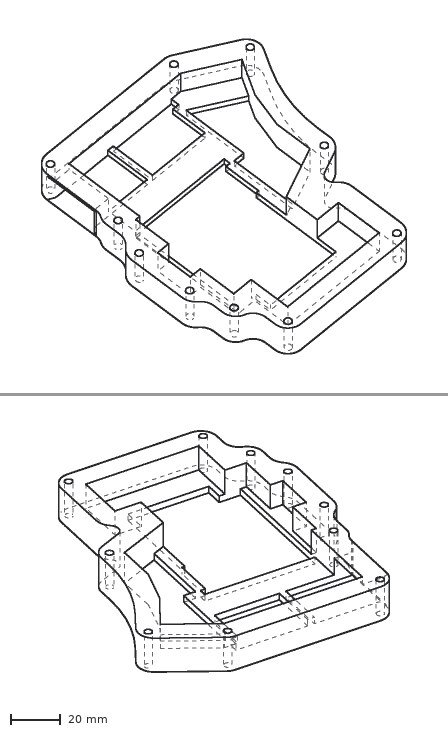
import cadquery as cq
import math

length = 135.4
height = 16.5
wall = 10.0
corner_radius = 7.5

shelf_level = 4.9
pocket_floor = 1.8
window_top = 13.0

inner_left = wall
inner_right = length - wall
inner_bottom = 18.7
left_bend_y = 83.9
side_angle = math.radians(60)
apex_x = 22.9
apex_y = left_bend_y + (apex_x - inner_left) * math.tan(side_angle)
rear_wall_y = 91.6
rear_wall_right_x = 74.9
block_left_x = 85.3
block_right_x = 102.6
block_front_y = 67.0
right_bay_bottom = 26.0
right_bay_top = 79.3
connector_left_x = 68.0
connector_right_x = 86.2
connector_bottom = wall
front_step_left_x = 49.7
front_step_left_y = 16.4
front_step_right_y = 15.8
front_right_x = 104.9

board_left = 47.0
board_right = 113.0
board_right_bottom = 28.7
board_tab_x = 50.2
board_tab_y = 70.7
board_step_x = 68.5
board_step_y = 68.4
side_pocket_right = 32.0
front_pocket_top = 41.4
rear_pocket_bottom = 44.5
rear_pocket_top = 75.1
rear_pocket_tab_x = 14.1
rear_floor_y = 78.4
rear_floor_left_x = 18.3
rear_floor_step_x = 50.6
rear_floor_step_y = 72.8

hole_diameter = 3.4
hole_inset = 4.7
window_edge_radius = 3.0
window_sill_radius = 1.6

outer_front_left = inner_bottom - wall
outer_step_left = front_step_left_y - wall
outer_step_right = front_step_right_y - wall
outer_right_bottom = right_bay_bottom - wall
outer_right_top = right_bay_top + wall
outer_rear_top = rear_wall_y + wall


def toward(start, end, distance):
    """Point at the given distance from start on the way to end."""
    span = math.dist(start, end)
    return tuple(a + (b - a) * distance / span for a, b in zip(start, end))


def step_corners(start, end):
    """Two (x, y, radius) corners of an S bend whose equal arcs meet halfway, level at both ends."""
    run = end[0] - start[0]
    rise = abs(end[1] - start[1])
    tangent = (run ** 2 + rise ** 2) / (4 * run)
    radius = (run ** 2 + rise ** 2) / (4 * rise)
    return [(start[0] + tangent, start[1], radius), (end[0] - tangent, end[1], radius)]


def rounded_outline(corners):
    """Closed outline through (x, y, radius) corners, each rounded by a tangent arc."""
    tolerance = 1.35e-06
    outline = None
    position = None
    for index, (x, y, radius) in enumerate(corners):
        corner = (x, y)
        before = corners[index - 1][:2]
        after = corners[(index + 1) % len(corners)][:2]
        bearing_in = math.atan2(y - before[1], x - before[0])
        bearing_out = math.atan2(after[1] - y, after[0] - x)
        turn = abs(math.remainder(bearing_out - bearing_in, 2 * math.pi))
        tangent = radius * math.tan(turn / 2)
        arc_start = toward(corner, before, tangent)
        arc_end = toward(corner, after, tangent)
        chord_middle = tuple((a + b) / 2 for a, b in zip(arc_start, arc_end))
        arc_middle = toward(corner, chord_middle, radius / math.cos(turn / 2) - radius)
        if outline is None:
            outline = cq.Workplane("XY").moveTo(*arc_start)
        elif math.dist(position, arc_start) > tolerance:
            outline = outline.lineTo(*arc_start)
        outline = outline.threePointArc(arc_middle, arc_end)
        position = arc_end
    return outline.close()


def make_body():
    """Solid plate with the rounded outer outline."""
    sweep_radius = 70.4
    notch_radius = 3.8
    notch_bottom = (89.9, 81.8)
    notch_top_x = 97.5
    left_bend = (0, left_bend_y + wall * math.tan((math.pi / 2 - side_angle) / 2))
    apex_shift = wall * math.sqrt(2)
    apex_bearing = side_angle + math.pi / 4
    apex = (
        apex_x + apex_shift * math.cos(apex_bearing),
        apex_y + apex_shift * math.sin(apex_bearing),
    )
    sweep_x = apex[0] + (apex[1] - outer_rear_top) * math.tan(side_angle)
    rear_corner_x = 81.4
    corners = [
        (0, outer_front_left, corner_radius),
        *step_corners((34.8, outer_front_left), (42.5, outer_step_left)),
        *step_corners((50.2, outer_step_left), (63.1, 0)),
        *step_corners((91.2, 0), (103.5, outer_step_right)),
        *step_corners((108.5, outer_step_right), (122.6, outer_right_bottom)),
        (length, outer_right_bottom, corner_radius),
        (length, outer_right_top, corner_radius),
        (notch_top_x, outer_right_top, corner_radius),
        (*notch_bottom, notch_radius),
        (rear_corner_x, outer_rear_top, corner_radius),
        (sweep_x, outer_rear_top, sweep_radius),
        (*apex, corner_radius),
        (*left_bend, corner_radius),
    ]
    return rounded_outline(corners).extrude(height)


def recess(points, floor, ceiling):
    """Straight-walled cutter between two levels."""
    return cq.Workplane("XY").workplane(offset=floor).polyline(points).close().extrude(ceiling - floor)


rear_wall = [
    (rear_wall_right_x, rear_wall_y),
    (56.5, rear_wall_y),
    (39.5, 96.5),
]


def main_cavity():
    """Open cavity down to the shelf level."""
    return recess(
        [
            (inner_left, inner_bottom),
            (front_step_left_x, inner_bottom),
            (front_step_left_x, front_step_left_y),
            (connector_left_x, front_step_left_y),
            (connector_left_x, connector_bottom),
            (connector_right_x, connector_bottom),
            (connector_right_x, front_step_right_y),
            (front_right_x, front_step_right_y),
            (front_right_x, right_bay_bottom),
            (inner_right, right_bay_bottom),
            (inner_right, right_bay_top),
            (block_right_x, right_bay_top),
            (block_right_x, block_front_y),
            (block_left_x, block_front_y),
            *rear_wall,
            (apex_x, apex_y),
            (inner_left, left_bend_y),
        ],
        shelf_level,
        height,
    )


def board_pocket():
    """Stepped circuit-board pocket in the shelf."""
    return recess(
        [
            (board_left, inner_bottom),
            (front_right_x, inner_bottom),
            (front_right_x, board_right_bottom),
            (board_right, board_right_bottom),
            (board_right, block_front_y),
            (board_step_x, block_front_y),
            (board_step_x, board_step_y),
            (board_tab_x, board_step_y),
            (board_tab_x, board_tab_y),
            (board_left, board_tab_y),
        ],
        pocket_floor,
        shelf_level,
    )


def front_side_pocket():
    """Pocket in the front left corner, just behind the window."""
    return recess(
        [
            (inner_left, inner_bottom),
            (side_pocket_right, inner_bottom),
            (side_pocket_right, front_pocket_top),
            (inner_left, front_pocket_top),
        ],
        pocket_floor,
        shelf_level,
    )


def rear_side_pocket():
    """Pocket along the left wall, with a short tab at its rear left corner."""
    return recess(
        [
            (inner_left, rear_pocket_bottom),
            (side_pocket_right, rear_pocket_bottom),
            (side_pocket_right, rear_pocket_top),
            (rear_pocket_tab_x, rear_pocket_top),
            (rear_pocket_tab_x, rear_floor_y),
            (inner_left, rear_floor_y),
        ],
        pocket_floor,
        shelf_level,
    )


def rear_pocket():
    """Deep area bounded by the bent rear wall and a ledge along the slanted side wall."""
    block_slope = (block_left_x - rear_wall_right_x) / (rear_wall_y - block_front_y)
    wall_x = rear_wall_right_x + (rear_wall_y - rear_floor_step_y) * block_slope
    rear_slope = (apex_y - rear_wall[-1][1]) / (rear_wall[-1][0] - apex_x)
    ledge_slope = math.tan(side_angle)
    ledge_x = (
        apex_y + rear_slope * apex_x - rear_floor_y + ledge_slope * rear_floor_left_x
    ) / (ledge_slope + rear_slope)
    ledge_y = rear_floor_y + (ledge_x - rear_floor_left_x) * ledge_slope
    return recess(
        [
            (rear_floor_left_x, rear_floor_y),
            (rear_floor_step_x, rear_floor_y),
            (rear_floor_step_x, rear_floor_step_y),
            (wall_x, rear_floor_step_y),
            *rear_wall,
            (ledge_x, ledge_y),
        ],
        pocket_floor,
        shelf_level,
    )


def window():
    """Cutter for the front opening, with rounded outer side and top edges and a rounded sill."""
    margin = 2 * window_edge_radius
    clearance = 0.1
    width = side_pocket_right - inner_left
    opening = cq.Workplane("XY").box(width, wall, window_top + margin, centered=False)
    opening = opening.translate((inner_left, outer_front_left, -margin))
    surround = cq.Workplane("XY").box(
        width + 2 * margin, wall, window_top + 2 * margin, centered=False
    ).translate((inner_left - margin, outer_front_left, -margin))
    frame = surround.cut(opening)
    mouth = cq.selectors.BoxSelector(
        (inner_left - clearance, outer_front_left - clearance, -margin),
        (side_pocket_right + clearance, outer_front_left + clearance, window_top + clearance),
    )
    frame = frame.edges(mouth).fillet(window_edge_radius)
    flared_opening = surround.cut(frame)

    sill = cq.Workplane("XY").box(width + 2 * margin, wall, pocket_floor + margin, centered=False)
    sill = sill.translate((inner_left - margin, outer_front_left, -margin))
    sill = sill.faces(">Z").edges("<Y").fillet(window_sill_radius)
    return flared_opening.cut(sill)


def screw_holes():
    """Through holes around the rim."""
    right_x = length - hole_inset
    centers = [
        (hole_inset, outer_front_left + hole_inset),
        (hole_inset, 85.4),
        (20.8, 113.2),
        (77.8, outer_rear_top - hole_inset),
        (right_x, 84.2),
        (right_x, 20.7),
        (110.0, 10.7),
        (91.0, hole_inset),
        (62.7, hole_inset),
        (44.8, outer_step_left + hole_inset),
    ]
    return cq.Workplane("XY").pushPoints(centers).circle(hole_diameter / 2).extrude(height)


cutters = [
    main_cavity(),
    board_pocket(),
    front_side_pocket(),
    rear_side_pocket(),
    rear_pocket(),
    window(),
    screw_holes(),
]
result = make_body()
for cutter in cutters:
    result = result.cut(cutter)